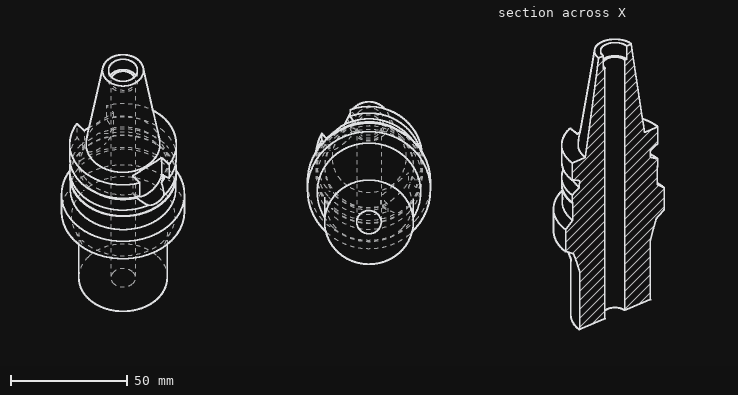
import cadquery as cq

total_height = 138.4
body_radius = 53.0 / 2
shank_radius = 19.1
flange_radius = 23.0
groove_radius = 19.1
collar_radius = 22.7
lower_cone_radius = 22.3

shank_top = 30.7
lower_cone_top = 41.1
body_bottom = 44.0
body_top = 55.6
collar_bottom = 59.0
collar_top = 68.1
lower_flange_top = 72.2
groove_bottom = 74.7
groove_top = 78.0
flange_bottom = 80.1
flange_top = 89.1

taper_length = 48.5
taper_ratio = 7 / 24
gauge_radius = 15.9
taper_bottom = total_height - taper_length
taper_tip_radius = gauge_radius - taper_length * taper_ratio / 2

bore_radius = 5.3
counterbore_radius = 6.2
counterbore_depth = 6.9

slot_width = 16.2
slot_bottom = 71.0
slot_floor_distance = 16.5


def revolved_body():
    profile = [
        (0, 0),
        (shank_radius, 0),
        (shank_radius, shank_top),
        (lower_cone_radius, lower_cone_top),
        (body_radius, body_bottom),
        (body_radius, body_top),
        (collar_radius, collar_bottom),
        (collar_radius, collar_top),
        (flange_radius, collar_top),
        (flange_radius, lower_flange_top),
        (groove_radius, groove_bottom),
        (groove_radius, groove_top),
        (flange_radius, flange_bottom),
        (flange_radius, flange_top),
        (gauge_radius, flange_top),
        (gauge_radius, taper_bottom),
        (taper_tip_radius, total_height),
        (0, total_height),
    ]
    return cq.Workplane("XZ").polyline(profile).close().revolve(360, (0, 0), (0, 1))


def stepped_bore():
    bore = cq.Workplane("XY").circle(bore_radius).extrude(total_height)
    counterbore = (
        cq.Workplane("XY", origin=(0, 0, total_height - counterbore_depth))
        .circle(counterbore_radius)
        .extrude(counterbore_depth)
    )
    return bore.union(counterbore)


def drive_slot(side):
    """Round-bottomed slot, open at the flange top; side is -1 for -X and 1 for +X."""
    half_width = slot_width / 2
    arc_center_height = slot_bottom + half_width
    slot_depth = body_radius - slot_floor_distance
    return (
        cq.Workplane("YZ", origin=(side * slot_floor_distance, 0, 0))
        .moveTo(-half_width, flange_top)
        .lineTo(-half_width, arc_center_height)
        .threePointArc((0, slot_bottom), (half_width, arc_center_height))
        .lineTo(half_width, flange_top)
        .close()
        .extrude(side * slot_depth)
    )


result = revolved_body().cut(stepped_bore())
for side in (-1, 1):
    result = result.cut(drive_slot(side))